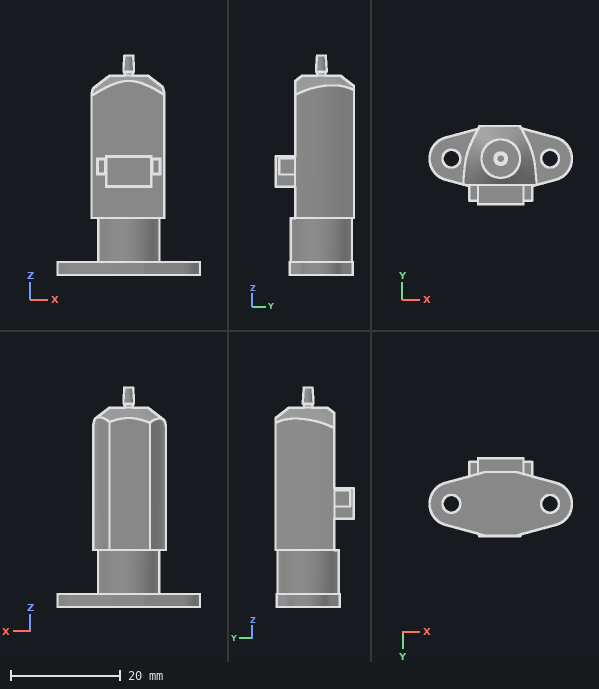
import cadquery as cq
import math

flange_thickness = 2.4
lobe_offset = 8.98
lobe_radius = 4.0
flange_hole_diameter = 3.2
waist_half_width = 5.75
edge_tilt = math.radians(15)

post_diameter = 11.2
body_bottom = 10.35

body_top = 36.3
body_center_x = -0.15
front_y = -4.75
back_y = 5.95
front_half_width = 6.65
back_half_width = 3.7
rear_bend = (4.95, 3.45)
front_bend = (6.45, -1.75)
side_arc_radius = 13.6
corner_y = -4.05

crown_flat_diameter = 7.0
crown_slope = 0.77
crown_cone_radius = 10.0

recess_diameter = 2.25
recess_depth = 1.0
neck_diameter = 1.5
collar_diameter = 2.0
collar_bottom = 36.9
collar_chamfer = 0.15
taper_bottom = 37.4
pin_tip_diameter = 1.65
pin_top = 40.0

connector_half_width = 4.15
connector_bottom = 16.1
connector_top = 21.65
connector_front_y = -8.35
ear_half_span = 5.75
ear_bottom = 18.35
ear_top = 21.2
ear_front_y = -7.7
connector_chamfer = 0.1


def make_flange():
    touch_x = lobe_offset + lobe_radius * math.sin(edge_tilt)
    touch_y = lobe_radius * math.cos(edge_tilt)
    waist_x = touch_x - (waist_half_width - touch_y) / math.tan(edge_tilt)
    lobe_end = lobe_offset + lobe_radius
    return (
        cq.Workplane("XY")
        .moveTo(-waist_x, waist_half_width)
        .lineTo(waist_x, waist_half_width)
        .lineTo(touch_x, touch_y)
        .threePointArc((lobe_end, 0), (touch_x, -touch_y))
        .lineTo(waist_x, -waist_half_width)
        .lineTo(-waist_x, -waist_half_width)
        .lineTo(-touch_x, -touch_y)
        .threePointArc((-lobe_end, 0), (-touch_x, touch_y))
        .close()
        .extrude(flange_thickness)
        .pushPoints([(-lobe_offset, 0), (lobe_offset, 0)])
        .circle(flange_hole_diameter / 2)
        .cutThruAll()
    )


def make_post():
    height = body_bottom - flange_thickness
    return cq.Workplane("XY").workplane(offset=flange_thickness).circle(post_diameter / 2).extrude(height)


def make_crown_envelope():
    """Cone with a flat top, wide enough to reach past the body corners."""
    flat_radius = crown_flat_diameter / 2
    cone_bottom = body_top - crown_slope * (crown_cone_radius - flat_radius)
    return (
        cq.Workplane("XZ")
        .moveTo(0, body_bottom)
        .lineTo(crown_cone_radius, body_bottom)
        .lineTo(crown_cone_radius, cone_bottom)
        .lineTo(flat_radius, body_top)
        .lineTo(0, body_top)
        .close()
        .revolve(360, (0, 0, 0), (0, 1, 0))
    )


def make_body():
    prism = (
        cq.Workplane("XY", origin=(body_center_x, 0, body_bottom))
        .moveTo(-back_half_width, back_y)
        .lineTo(back_half_width, back_y)
        .lineTo(*rear_bend)
        .radiusArc(front_bend, side_arc_radius)
        .lineTo(front_half_width, corner_y)
        .lineTo(front_half_width, front_y)
        .lineTo(-front_half_width, front_y)
        .lineTo(-front_half_width, corner_y)
        .lineTo(-front_bend[0], front_bend[1])
        .radiusArc((-rear_bend[0], rear_bend[1]), side_arc_radius)
        .close()
        .extrude(body_top - body_bottom)
    )
    recess = (
        cq.Workplane("XY")
        .workplane(offset=body_top - recess_depth)
        .circle(recess_diameter / 2)
        .extrude(recess_depth)
    )
    return prism.intersect(make_crown_envelope()).cut(recess)


def make_pin():
    neck_radius = neck_diameter / 2
    collar_radius = collar_diameter / 2
    return (
        cq.Workplane("XZ")
        .moveTo(0, body_top - recess_depth)
        .lineTo(neck_radius, body_top - recess_depth)
        .lineTo(neck_radius, collar_bottom)
        .lineTo(collar_radius - collar_chamfer, collar_bottom)
        .lineTo(collar_radius, collar_bottom + collar_chamfer)
        .lineTo(collar_radius, taper_bottom)
        .lineTo(pin_tip_diameter / 2, pin_top)
        .lineTo(0, pin_top)
        .close()
        .revolve(360, (0, 0, 0), (0, 1, 0))
    )


def make_front_block(x_min, x_max, y_min, z_min, z_max):
    """Block on the front face of the body, chamfered around its outer face."""
    size = (x_max - x_min, front_y - y_min, z_max - z_min)
    block = cq.Workplane("XY").box(*size, centered=False).translate((x_min, y_min, z_min))
    return block.faces("<Y").edges().chamfer(connector_chamfer)


def make_connector():
    ear_width = ear_half_span - connector_half_width
    housing = make_front_block(
        -connector_half_width, connector_half_width, connector_front_y, connector_bottom, connector_top
    )
    for ear_x in (-ear_half_span, connector_half_width):
        ear = make_front_block(ear_x, ear_x + ear_width, ear_front_y, ear_bottom, ear_top)
        housing = housing.union(ear)
    return housing


result = make_flange().union(make_post()).union(make_body()).union(make_pin()).union(make_connector())